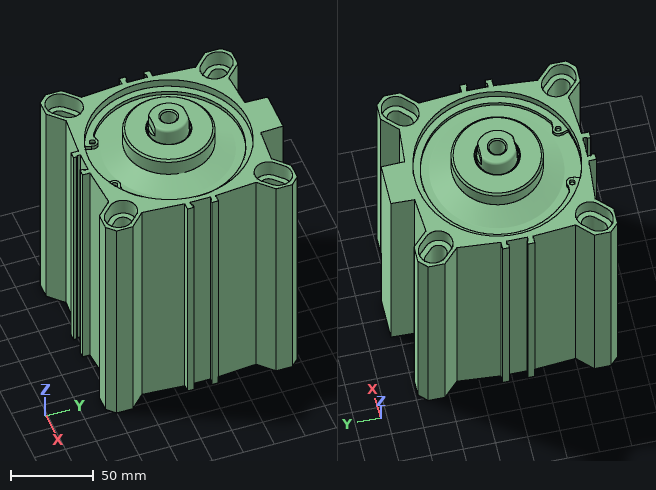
import cadquery as cq
import math

housing_height = 156.5
collar_height = 10.0
rod_tip_height = 10.0
collar_top = housing_height + collar_height
rod_top = collar_top + rod_tip_height

half_width = 62.0
lug_chamfer = 5.3
lug_foot_far = 52.5
lug_foot_near = 36.8
lug_shoulder = lug_foot_near + half_width - lug_foot_far
wall_bulge = 54.6
root_overlap = 1.0

rail_outer = 10.0
rail_tip = 59.4
rail_head_inner = 5.7
rail_stem_inner = 6.5
rail_head_straight = 2.1
rail_head_slope = 0.8

block_end = 69.0
block_base_half = 13.8
block_end_half = 13.3

slot_width = 10.5
slot_counterbore_width = 17.5
slot_counterbore_depth = 11.0
slot_inner_offset = 47.0
slot_outer_offset = 51.4

seat_diameter = 102.2
seat_floor = 130.0
cover_rim_top = 148.4
ring_thickness = 2.6
ring_outer_diameter = 106.2
ring_inner_diameter = 93.2

ring_gap_half_angle = 20.0
ear_x = 19.4
ear_y = -42.1
ear_radius = 3.5
ear_edge_y = -39.3
plier_hole_diameter = 3.5

cone_base_diameter = 82.0
collar_diameter = 56.0
cone_top = 154.6
cone_base_fillet = 1.0
cone_top_fillet = 0.5
collar_chamfer = 1.3
wiper_mouth_diameter = 28.0
wiper_bore_diameter = 26.9
wiper_floor_diameter = 25.6
wiper_depth = 2.0

rod_diameter = 25.0
rod_rounding = 2.0
flat_width = 22.0
flat_length = 7.2
thread_diameter = 10.11
thread_mouth_diameter = 12.0
thread_depth = 20.0
drill_point_angle = 118.0


def sector(half_angle, radius, height):
    """Triangular prism opening from the axis toward -Y."""
    reach = radius * math.tan(math.radians(half_angle))
    return cq.Workplane("XY").polyline([(0, 0), (-reach, -radius), (reach, -radius)]).close().extrude(height)


def housing_core():
    corner = [
        (lug_foot_far, lug_foot_near),
        (half_width, lug_shoulder),
        (half_width, half_width - lug_chamfer),
        (half_width - lug_chamfer, half_width),
        (lug_shoulder, half_width),
        (lug_foot_near, lug_foot_far),
        (rail_outer, wall_bulge),
        (-rail_outer, wall_bulge),
    ]
    outline = []
    for turn in range(4):
        for x, y in corner:
            for _ in range(turn):
                x, y = -y, x
            outline.append((x, y))
    return cq.Workplane("XY").polyline(outline).close().extrude(housing_height)


def rail_pair():
    """Two hooked rails standing on the -Y wall, hooks facing each other."""
    root = wall_bulge - root_overlap
    hook_start = rail_tip - rail_head_straight
    profile = [
        (rail_outer, -root),
        (rail_outer, -rail_tip),
        (rail_head_inner, -rail_tip),
        (rail_head_inner, -hook_start),
        (rail_stem_inner, -hook_start + rail_head_slope),
        (rail_stem_inner, -root),
    ]
    rail = cq.Workplane("XY").polyline(profile).close().extrude(housing_height)
    return rail.union(rail.mirror("YZ"))


def port_block():
    root = wall_bulge - root_overlap
    profile = [
        (-block_base_half, root),
        (block_base_half, root),
        (block_end_half, block_end),
        (-block_end_half, block_end),
    ]
    return cq.Workplane("XY").polyline(profile).close().extrude(housing_height)


def lug_slot(width, bottom):
    """Slot along the diagonal of the +X +Y lug, from `bottom` up through the top face."""
    middle = (slot_inner_offset + slot_outer_offset) / 2
    length = (slot_outer_offset - slot_inner_offset) * math.sqrt(2) + width
    return (
        cq.Workplane("XY", origin=(0, 0, bottom))
        .center(middle, middle)
        .slot2D(length, width, 45)
        .extrude(housing_height - bottom)
    )


def make_housing():
    body = housing_core().union(port_block())
    for angle in (-90, 0, 90):
        body = body.union(rail_pair().rotate((0, 0, 0), (0, 0, 1), angle))
    slot = lug_slot(slot_width, 0).union(
        lug_slot(slot_counterbore_width, housing_height - slot_counterbore_depth)
    )
    for quarter in range(4):
        body = body.cut(slot.rotate((0, 0, 0), (0, 0, 1), 90 * quarter))
    seat = cq.Workplane("XY", origin=(0, 0, seat_floor)).circle(seat_diameter / 2)
    groove = cq.Workplane("XY", origin=(0, 0, cover_rim_top)).circle(ring_outer_diameter / 2)
    body = body.cut(seat.extrude(housing_height - seat_floor))
    return body.cut(groove.extrude(ring_thickness))


def make_cover():
    rod_r = rod_diameter / 2
    collar_r = collar_diameter / 2
    mouth_r = wiper_mouth_diameter / 2
    wiper_r = wiper_bore_diameter / 2
    half_section = [
        (rod_r, seat_floor),
        (seat_diameter / 2, seat_floor),
        (seat_diameter / 2, cover_rim_top),
        (cone_base_diameter / 2, cover_rim_top),
        (collar_r, cone_top),
        (collar_r, collar_top - collar_chamfer),
        (collar_r - collar_chamfer, collar_top),
        (mouth_r, collar_top),
        (wiper_r, collar_top - (mouth_r - wiper_r)),
        (wiper_floor_diameter / 2, collar_top - wiper_depth),
        (rod_r, collar_top - wiper_depth),
    ]
    cover = cq.Workplane("XZ").polyline(half_section).close().revolve(360, (0, 0, 0), (0, 1, 0))
    second_largest = cq.selectors.RadiusNthSelector(-2)
    third_largest = cq.selectors.RadiusNthSelector(-3)
    cover = cover.edges(third_largest).edges("<Z").fillet(cone_top_fillet)
    return cover.edges(second_largest).fillet(cone_base_fillet)


def make_retaining_ring():
    ring = (
        cq.Workplane("XY")
        .circle(ring_outer_diameter / 2)
        .circle(ring_inner_diameter / 2)
        .extrude(ring_thickness)
        .cut(sector(ring_gap_half_angle, ring_outer_diameter, ring_thickness))
    )
    inner_r = ring_inner_diameter / 2
    edge_x = math.sqrt(inner_r**2 - ear_edge_y**2)
    overlap_r = (inner_r + ring_outer_diameter / 2) / 2
    for side in (-1, 1):
        bridge = (
            cq.Workplane("XY")
            .polyline([
                (side * edge_x, ear_edge_y),
                (side * ear_x, ear_edge_y),
                (side * ear_x, -math.sqrt(overlap_r**2 - ear_x**2)),
                (side * edge_x, -math.sqrt(overlap_r**2 - edge_x**2)),
            ])
            .close()
            .extrude(ring_thickness)
        )
        at_ear = cq.Workplane("XY").center(side * ear_x, ear_y)
        ring = ring.union(bridge).union(at_ear.circle(ear_radius).extrude(ring_thickness))
        ring = ring.cut(at_ear.circle(plier_hole_diameter / 2).extrude(ring_thickness))
    return ring.translate((0, 0, cover_rim_top))


def make_rod():
    rod_r = rod_diameter / 2
    thread_r = thread_diameter / 2
    mouth_r = thread_mouth_diameter / 2
    point_length = thread_r / math.tan(math.radians(drill_point_angle / 2))
    rod = (
        cq.Workplane("XZ")
        .moveTo(0, seat_floor)
        .lineTo(rod_r, seat_floor)
        .lineTo(rod_r, rod_top - rod_rounding)
        .radiusArc((rod_r - rod_rounding, rod_top), -rod_rounding)
        .lineTo(mouth_r, rod_top)
        .lineTo(thread_r, rod_top - (mouth_r - thread_r))
        .lineTo(thread_r, rod_top - thread_depth)
        .lineTo(0, rod_top - thread_depth - point_length)
        .close()
        .revolve(360, (0, 0, 0), (0, 1, 0))
    )
    flat_bottom = rod_top - flat_length
    flat_half = flat_width / 2
    slope = rod_r - flat_half
    flat_cut = (
        cq.Workplane("YZ")
        .polyline([
            (flat_half, rod_top),
            (flat_half, flat_bottom),
            (rod_r, flat_bottom - slope),
            (rod_r, rod_top),
        ])
        .close()
        .extrude(rod_r, both=True)
    )
    return rod.cut(flat_cut).cut(flat_cut.mirror("XZ"))


housing = make_housing()
cover = make_cover()
retaining_ring = make_retaining_ring()
rod = make_rod()

result = cq.Compound.makeCompound([housing.val(), cover.val(), retaining_ring.val(), rod.val()])